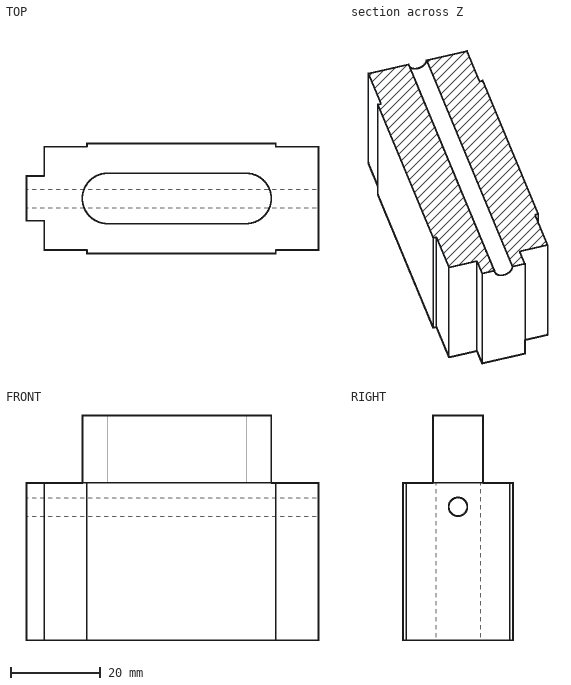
import cadquery as cq

body_length = 61.0
body_width = 23.0
body_height = 35.0

tongue_length = 3.9
tongue_width = 10.0

pad_length = 42.0
pad_depth = 0.75
pad_start = (body_length - pad_length) / 2

boss_length = pad_length
boss_width = 11.2
boss_height = 15.0
boss_shift = -1.0
boss_center = body_length / 2 + boss_shift

hole_diameter = 4.1
hole_drop = 5.3
hole_z = body_height - hole_drop


def upright_block(start_x, length, width):
    """Full-height box, symmetric about Y = 0, reaching from start_x in +X."""
    return (
        cq.Workplane("XY")
        .box(length, width, body_height, centered=(False, True, False))
        .translate((start_x, 0, 0))
    )


def make_tongue():
    """Tongue extended to the middle of the block so that the two overlap."""
    return upright_block(-tongue_length, tongue_length + body_length / 2, tongue_width)


def make_pads():
    """Both pads as one wider block that passes through the main block."""
    return upright_block(pad_start, pad_length, body_width + 2 * pad_depth)


def make_boss():
    return (
        cq.Workplane("XY")
        .workplane(offset=body_height)
        .center(boss_center, 0)
        .slot2D(boss_length, boss_width)
        .extrude(boss_height)
    )


def make_cross_hole():
    return (
        cq.Workplane("YZ")
        .workplane(offset=-tongue_length)
        .center(0, hole_z)
        .circle(hole_diameter / 2)
        .extrude(tongue_length + body_length)
    )


body = upright_block(0, body_length, body_width)
result = body.union(make_tongue()).union(make_pads()).union(make_boss()).cut(make_cross_hole())